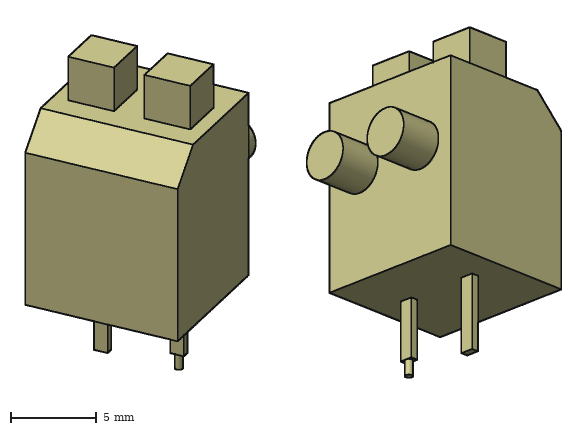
import cadquery as cq

width = 10.0
depth = 9.2
overall_height = 19.8
height = 12.1
front_chamfer = 2.0

pitch = width / 2
pole_positions = (-pitch / 2, pitch / 2)
contact_y = 5.1

button_side = 3.0
stub_diameter = button_side
projection = 2.9
stub_z = 7.1

pin_width = 0.9
pin_thickness = 0.5
pin_length = overall_height - height - projection
tip_length = 0.99


def make_housing():
    """Block with its top front edge chamfered."""
    block = cq.Workplane("XY").box(width, depth, height, centered=(True, False, False))
    return block.faces(">Z").edges("<Y").chamfer(front_chamfer)


def make_button(x):
    return (
        cq.Workplane("XY", origin=(x, contact_y, height))
        .rect(button_side, button_side)
        .extrude(projection)
    )


def make_stub(x):
    return (
        cq.Workplane("XZ", origin=(x, depth, stub_z))
        .circle(stub_diameter / 2)
        .extrude(-projection)
    )


def make_flat_pin(x, length):
    return (
        cq.Workplane("XY", origin=(x, contact_y, 0))
        .rect(pin_width, pin_thickness)
        .extrude(-length)
    )


def make_round_tip(x, flat_length):
    return (
        cq.Workplane("XY", origin=(x, contact_y, -flat_length))
        .circle(pin_thickness / 2)
        .extrude(-tip_length)
    )


result = make_housing()
for pole_x in pole_positions:
    result = result.union(make_button(pole_x)).union(make_stub(pole_x))

left_x, right_x = pole_positions
right_flat_length = pin_length - tip_length
result = result.union(make_flat_pin(left_x, pin_length))
result = result.union(make_flat_pin(right_x, right_flat_length))
result = result.union(make_round_tip(right_x, right_flat_length))